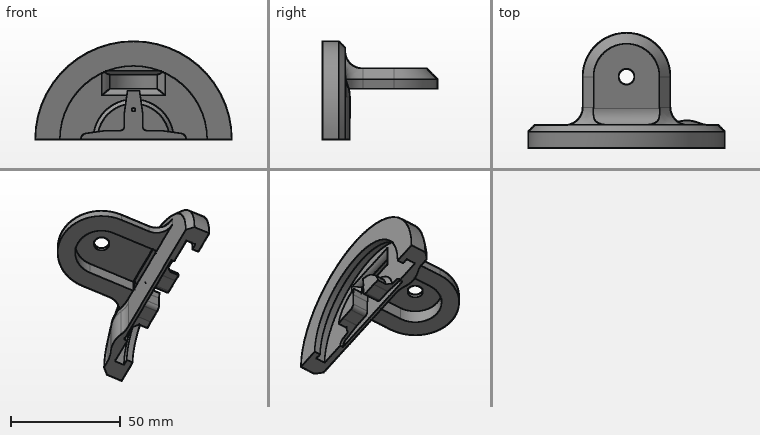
import cadquery as cq
import math

plate_radius = 44.75
plate_thickness = 10.5
plate_chamfer = 3.0
back_radius = plate_radius - plate_chamfer

lip_radius = 33.5
lip_thickness = 3.0
recess_radius = 36.5
wall_thickness = 3.0
recess_depth = plate_thickness - wall_thickness

hub_radius = 16.4
hub_foot_radius = 18.35
hub_foot_height = 2.0
hub_front = 1.2

arm_half_width = 4.1
arm_straight_length = 12.5
arm_tip_radius = 2.9
arm_length = 24.0
slot_corner_radius = 2.0
slot_floor = 9.0
pin_hole_diameter = 1.6
pin_hole_height = 13.6
pin_hole_depth = 1.0

lug_half_width = 20.0
lug_end = 52.46
lug_bottom = 23.1
lug_top = 32.5
lug_chamfer = 5.0
lug_hole_diameter = 7.0
lug_axis = lug_end - lug_half_width
chamfer_bottom = lug_top - lug_chamfer

root_side_radius = 8.0
root_top_radius = 7.5
root_end = plate_thickness + root_side_radius

hollow_half_width = 12.0
hollow_top = 30.5
throat_half_width = 10.75
throat_top = 29.5
mouth_half_width = 14.45
mouth_bottom = 20.1
mouth_top = 31.4
flare_bulge = 0.42

swelling_x = 27.5
swelling_height = 2.1
swelling_curve_radius = 13.5
swelling_top_center = 19.5


def half_turn(profile):
    """Upper half of a round body about the Y axis, from a profile in X (radius) and Y."""
    return profile.close().revolve(180, (0, 0, 0), (0, -1, 0))


def half_disc(radius, y_start, y_end):
    profile = (
        cq.Workplane("XY")
        .moveTo(0, y_start)
        .lineTo(radius, y_start)
        .lineTo(radius, y_end)
        .lineTo(0, y_end)
    )
    return half_turn(profile)


def arc_inset(radius):
    """Distance from the corner of a rounding's square, along each side, to the middle of its arc."""
    return radius * (1 - math.sqrt(0.5))


def plate():
    profile = (
        cq.Workplane("XY")
        .lineTo(plate_radius, 0)
        .lineTo(plate_radius, plate_thickness - plate_chamfer)
        .lineTo(back_radius, plate_thickness)
        .lineTo(0, plate_thickness)
    )
    return half_turn(profile)


def recess():
    opening = half_disc(lip_radius, 0, recess_depth)
    widening = half_disc(recess_radius, lip_thickness, recess_depth)
    return opening.union(widening)


def hub():
    profile = (
        cq.Workplane("XY")
        .moveTo(0, hub_front)
        .lineTo(hub_radius, hub_front)
        .lineTo(hub_radius, recess_depth - hub_foot_height)
        .lineTo(hub_foot_radius, recess_depth)
        .lineTo(0, recess_depth)
    )
    return half_turn(profile)


def slot():
    """Three arms from the centre; each tapers to a round tip."""
    tip_start = arm_length - arm_tip_radius
    depth = slot_floor - hub_front
    arm = (
        cq.Workplane("XZ", origin=(0, hub_front, 0))
        .moveTo(0, -arm_half_width)
        .lineTo(arm_straight_length, -arm_half_width)
        .lineTo(tip_start, -arm_tip_radius)
        .threePointArc((arm_length, 0), (tip_start, arm_tip_radius))
        .lineTo(arm_straight_length, arm_half_width)
        .lineTo(0, arm_half_width)
        .close()
        .extrude(-depth)
    )
    arms = arm
    for angle in (90, 180):
        arms = arms.union(arm.rotate((0, 0, 0), (0, -1, 0), angle))
    middle = (hub_front + slot_floor) / 2
    for side in (-1, 1):
        corner = cq.selectors.NearestToPointSelector((side * arm_half_width, middle, arm_half_width))
        arms = arms.edges("|Y").edges(corner).fillet(slot_corner_radius)
    return arms


def pin_hole():
    return (
        cq.Workplane("XZ", origin=(0, slot_floor, pin_hole_height))
        .circle(pin_hole_diameter / 2)
        .extrude(-pin_hole_depth)
    )


def lug():
    body = (
        cq.Workplane("XY", origin=(0, 0, lug_bottom))
        .moveTo(-lug_half_width, recess_depth)
        .lineTo(-lug_half_width, lug_axis)
        .threePointArc((0, lug_end), (lug_half_width, lug_axis))
        .lineTo(lug_half_width, recess_depth)
        .close()
        .extrude(lug_top - lug_bottom)
    )
    return body.faces(">Z").edges("not <Y").chamfer(lug_chamfer)


def root_outline(height):
    """Lug sides flaring out to the plate, in the horizontal plane at the given height."""
    foot = lug_half_width + root_side_radius
    inset = arc_inset(root_side_radius)
    return (
        cq.Workplane("XY", origin=(0, 0, height))
        .moveTo(-foot, plate_thickness)
        .threePointArc((-lug_half_width - inset, plate_thickness + inset), (-lug_half_width, root_end))
        .lineTo(lug_half_width, root_end)
        .threePointArc((lug_half_width + inset, plate_thickness + inset), (foot, plate_thickness))
        .close()
    )


def lug_root():
    """Side flares below the chamfer; above it, ruled faces run to straight edges 45 degrees inward."""
    root_height = lug_top + root_top_radius
    rise = root_height - chamfer_bottom
    top_half_width = lug_half_width - rise
    lower = root_outline(lug_bottom).extrude(chamfer_bottom - lug_bottom)
    top_wire = (
        cq.Workplane("XY", origin=(0, 0, root_height))
        .moveTo(-top_half_width, plate_thickness)
        .lineTo(-top_half_width, root_end)
        .lineTo(top_half_width, root_end)
        .lineTo(top_half_width, plate_thickness)
        .close()
    )
    loft_wires = [root_outline(chamfer_bottom).val(), top_wire.val()]
    upper = cq.Workplane(obj=cq.Solid.makeLoft(loft_wires, True))
    inset = arc_inset(root_top_radius)
    side_profile = (
        cq.Workplane("YZ", origin=(-plate_radius, 0, 0))
        .moveTo(plate_thickness, lug_bottom)
        .lineTo(plate_thickness, root_height)
        .threePointArc(
            (plate_thickness + inset, lug_top + inset),
            (plate_thickness + root_top_radius, lug_top),
        )
        .lineTo(root_end, lug_top)
        .lineTo(root_end, lug_bottom)
        .close()
        .extrude(2 * plate_radius)
    )
    within_back_face = half_disc(back_radius, plate_thickness, root_end)
    return lower.union(upper).intersect(side_profile).intersect(within_back_face)


def hollow():
    return (
        cq.Workplane("XY", origin=(0, 0, lug_bottom))
        .moveTo(-hollow_half_width, plate_thickness)
        .lineTo(-hollow_half_width, lug_axis)
        .threePointArc((0, lug_axis + hollow_half_width), (hollow_half_width, lug_axis))
        .lineTo(hollow_half_width, plate_thickness)
        .close()
        .extrude(hollow_top - lug_bottom)
    )


def mouth():
    """Common part of a plan outline and a side outline, which gives the flare its mitred corners."""
    plan = (
        cq.Workplane("XY", origin=(0, 0, mouth_bottom))
        .moveTo(-mouth_half_width, recess_depth)
        .sagittaArc((-throat_half_width, plate_thickness), -flare_bulge)
        .lineTo(throat_half_width, plate_thickness)
        .sagittaArc((mouth_half_width, recess_depth), -flare_bulge)
        .close()
        .extrude(mouth_top - mouth_bottom)
    )
    side = (
        cq.Workplane("YZ", origin=(-mouth_half_width, 0, 0))
        .moveTo(recess_depth, mouth_top)
        .sagittaArc((plate_thickness, throat_top), -flare_bulge)
        .lineTo(plate_thickness, lug_bottom)
        .sagittaArc((recess_depth, mouth_bottom), -flare_bulge)
        .close()
        .extrude(2 * mouth_half_width)
    )
    return plan.intersect(side)


def lug_hole():
    return (
        cq.Workplane("XY", origin=(0, lug_axis, lug_bottom))
        .circle(lug_hole_diameter / 2)
        .extrude(lug_top - lug_bottom)
    )


def swelling():
    """Crown and root arcs of equal radius meet halfway up; extruded, and turned for the round top."""
    radius = swelling_curve_radius
    half_height = swelling_height / 2
    half_reach = math.sqrt(radius**2 - (radius - half_height) ** 2)
    half_chord = math.hypot(half_reach, half_height) / 2
    sagitta = radius - math.sqrt(radius**2 - half_chord**2)
    crown = plate_thickness + swelling_height
    profile = (
        cq.Workplane("XY")
        .moveTo(0, plate_thickness)
        .lineTo(0, crown)
        .sagittaArc((half_reach, crown - half_height), sagitta)
        .sagittaArc((2 * half_reach, plate_thickness), -sagitta)
        .close()
    )
    right_half = profile.extrude(-swelling_top_center)
    left_half = right_half.mirror("YZ")
    round_top = profile.toPending().revolve(180, (0, 0, 0), (0, -1, 0))
    shape = right_half.union(left_half).union(round_top)
    within_back_face = half_disc(back_radius, plate_thickness, crown)
    return shape.translate((swelling_x, 0, swelling_top_center)).intersect(within_back_face)


result = plate().cut(recess()).union(hub())
result = result.union(lug()).union(lug_root()).union(swelling())
for opening in (slot(), pin_hole(), hollow(), mouth(), lug_hole()):
    result = result.cut(opening)